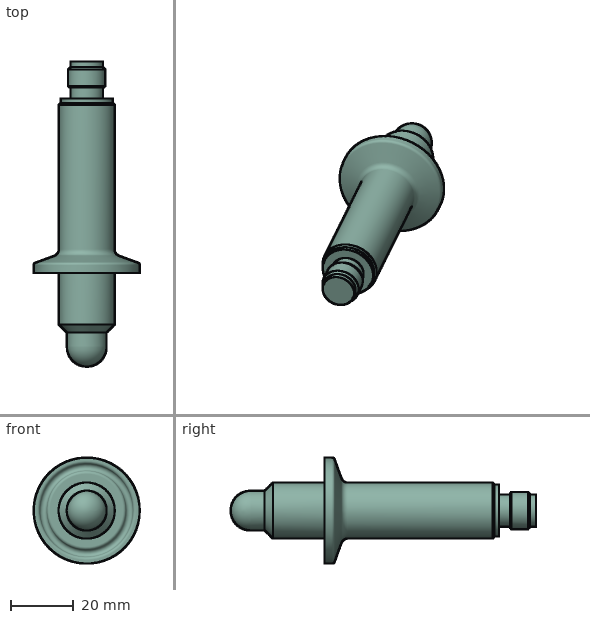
import cadquery as cq
import math

total_length = 97.75

tip_radius = 12.8 / 2
body_radius = 18.0 / 2
shoulder_start = 10.9
shoulder_end = shoulder_start + (body_radius - tip_radius)

flange_radius = 34.0 / 2
flange_face = 30.0
rim_length = 2.4
rim_round = 1.0
flange_back_slope = math.radians(20)
neck_fillet = 2.1

groove_centre_radius = 13.8
groove_bottom_round = 1.2
groove_lip_round = 1.0
groove_wall_angle = math.radians(75)

collar_radius = 16.7 / 2
collar_end = total_length - 11.8
collar_length = 1.5
collar_start = collar_end - collar_length
body_end = collar_start - (body_radius - collar_radius)

connector_radius = 10.5 / 2
ring_radius = 12.0 / 2
ring_start = total_length - 8.3
ring_end = total_length - 1.9
ring_front_chamfer = 0.5
ring_rear_chamfer = ring_radius - connector_radius


def arc_point(centre, radius, angle):
    """Point on a circle; the angle runs from the radial direction toward +Y."""
    return (centre[0] + radius * math.cos(angle), centre[1] + radius * math.sin(angle))


def solid_of_revolution(profile):
    return profile.close().revolve(360, (0, 0, 0), (0, 1, 0))


def make_body():
    """Full turned shape, without the gasket groove."""
    rim_centre = (flange_radius - rim_round, flange_face + rim_length)
    slope_normal = math.pi / 2 - flange_back_slope
    rim_middle = arc_point(rim_centre, rim_round, slope_normal / 2)
    slope_start = arc_point(rim_centre, rim_round, slope_normal)

    slope_at_body = slope_start[1] + (slope_start[0] - body_radius) * math.tan(flange_back_slope)
    neck_tangent = neck_fillet * math.tan(slope_normal / 2)
    neck_centre = (body_radius + neck_fillet, slope_at_body + neck_tangent)
    slope_end = arc_point(neck_centre, neck_fillet, math.pi + slope_normal)
    neck_middle = arc_point(neck_centre, neck_fillet, math.pi + slope_normal / 2)
    neck_end = (body_radius, neck_centre[1])

    dome_middle = arc_point((0, tip_radius), tip_radius, -math.pi / 4)
    profile = (
        cq.Workplane("XY")
        .threePointArc(dome_middle, (tip_radius, tip_radius))
        .lineTo(tip_radius, shoulder_start)
        .lineTo(body_radius, shoulder_end)
        .lineTo(body_radius, flange_face)
        .lineTo(flange_radius, flange_face)
        .lineTo(*arc_point(rim_centre, rim_round, 0))
        .threePointArc(rim_middle, slope_start)
        .lineTo(*slope_end)
        .threePointArc(neck_middle, neck_end)
        .lineTo(body_radius, body_end)
        .lineTo(collar_radius, collar_start)
        .lineTo(collar_radius, collar_end)
        .lineTo(connector_radius, collar_end)
        .lineTo(connector_radius, ring_start)
        .lineTo(ring_radius - ring_front_chamfer, ring_start)
        .lineTo(ring_radius, ring_start + ring_front_chamfer)
        .lineTo(ring_radius, ring_end - ring_rear_chamfer)
        .lineTo(connector_radius, ring_end)
        .lineTo(connector_radius, total_length)
        .lineTo(0, total_length)
    )
    return solid_of_revolution(profile)


def make_groove():
    """Ring cutter with a round bottom that blends into rounded lips."""
    rounds_sum = groove_bottom_round + groove_lip_round
    half_width = rounds_sum * math.sin(groove_wall_angle)
    depth = rounds_sum * (1 - math.cos(groove_wall_angle))
    bottom_y = flange_face + depth
    lip_y = flange_face + groove_lip_round
    bottom_centre = (groove_centre_radius, bottom_y - groove_bottom_round)
    inner_lip = (groove_centre_radius - half_width, lip_y)
    outer_lip = (groove_centre_radius + half_width, lip_y)

    full_turn = groove_wall_angle
    half_turn = groove_wall_angle / 2
    quarter = math.pi / 2
    profile = (
        cq.Workplane("XY")
        .moveTo(inner_lip[0], flange_face)
        .threePointArc(
            arc_point(inner_lip, groove_lip_round, half_turn - quarter),
            arc_point(inner_lip, groove_lip_round, full_turn - quarter),
        )
        .threePointArc(
            (groove_centre_radius, bottom_y),
            arc_point(bottom_centre, groove_bottom_round, quarter - full_turn),
        )
        .threePointArc(
            arc_point(outer_lip, groove_lip_round, -quarter - half_turn),
            (outer_lip[0], flange_face),
        )
    )
    return solid_of_revolution(profile)


result = make_body().cut(make_groove())